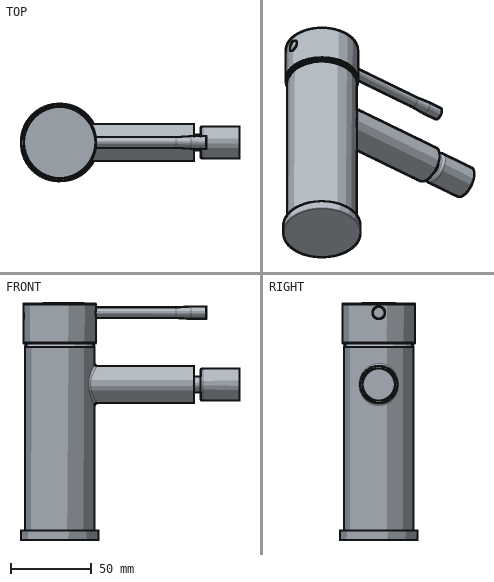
import cadquery as cq
import math


base_diameter = 48.0
base_height = 6.0
base_edge_radius = 0.4

body_diameter = 43.2
body_top = 119.2
neck_top_diameter = 40.8

cap_diameter = 45.0
cap_bottom = 121.5
cap_rim = 146.0
cap_edge_chamfer = 0.45
total_height = 146.57

spout_diameter = 23.0
spout_height = 96.1
spout_end = 83.1
spout_edge_radius = 0.4
spout_root_radius = 1.5

joint_diameter = 10.0
aerator_diameter = 20.0
aerator_start = 87.0
aerator_end = 111.13
aerator_edge_radius = 1.5

lever_height = 140.5
lever_diameter = 6.7
lever_taper_start = 72.0
lever_taper_end = 81.0
lever_tip_diameter = 7.8
lever_end = 90.7
lever_edge_chamfer = 0.2

plug_diameter = 7.0
plug_height = 138.4
plug_recess = 0.1


def x_cylinder(diameter, start, end, height):
    """Cylinder along +X, centred on Y = 0 at the given height."""
    return (
        cq.Workplane("YZ", origin=(start, 0, height))
        .circle(diameter / 2)
        .extrude(end - start)
    )


def z_cylinder(diameter, bottom, top):
    """Cylinder along +Z on the body axis."""
    return cq.Workplane("XY").workplane(offset=bottom).circle(diameter / 2).extrude(top - bottom)


def make_body_with_spout():
    """Body column and spout, blended where they meet."""
    body = z_cylinder(body_diameter, base_height, body_top)
    spout = x_cylinder(spout_diameter, 0, spout_end, spout_height)
    spout = spout.faces(">X").edges().fillet(spout_edge_radius)
    joined = body.union(spout)
    half_spout = spout_diameter / 2
    root_zone = cq.selectors.BoxSelector(
        (0, -half_spout, spout_height - half_spout),
        (body_diameter / 2 + spout_root_radius, half_spout, spout_height + half_spout),
    )
    return joined.edges(root_zone).fillet(spout_root_radius)


def make_base():
    return z_cylinder(base_diameter, 0, base_height).edges().fillet(base_edge_radius)


def make_neck():
    """Cone from the top of the body to the underside of the cap."""
    return (
        cq.Workplane("XZ")
        .moveTo(0, body_top)
        .lineTo(body_diameter / 2, body_top)
        .lineTo(neck_top_diameter / 2, cap_bottom)
        .lineTo(0, cap_bottom)
        .close()
        .revolve(360, (0, 0, 0), (0, 1, 0))
    )


def make_cap():
    """Turned cap with broken edges, a domed top and the recessed plug."""
    radius = cap_diameter / 2
    dome_radius = radius - cap_edge_chamfer
    rise = total_height - cap_rim
    ball_radius = (dome_radius**2 + rise**2) / (2 * rise)
    ball_center = total_height - ball_radius
    mid_radius = dome_radius / 2
    mid_height = ball_center + math.sqrt(ball_radius**2 - mid_radius**2)
    cap = (
        cq.Workplane("XZ")
        .moveTo(0, cap_bottom)
        .lineTo(radius - cap_edge_chamfer, cap_bottom)
        .lineTo(radius, cap_bottom + cap_edge_chamfer)
        .lineTo(radius, cap_rim - cap_edge_chamfer)
        .lineTo(dome_radius, cap_rim)
        .threePointArc((mid_radius, mid_height), (0, total_height))
        .close()
        .revolve(360, (0, 0, 0), (0, 1, 0))
    )
    core = z_cylinder(cap_diameter - 2 * plug_recess, cap_bottom, cap_rim)
    recess = x_cylinder(plug_diameter, -radius, 0, plug_height).cut(core)
    return cap.cut(recess)


def make_aerator():
    joint = x_cylinder(joint_diameter, spout_end, aerator_start, spout_height)
    aerator = x_cylinder(aerator_diameter, aerator_start, aerator_end, spout_height)
    aerator = aerator.faces("<X").edges().fillet(aerator_edge_radius)
    return aerator.union(joint)


def make_lever():
    """Round rod that flares into a thicker tip."""
    rod_radius = lever_diameter / 2
    tip_radius = lever_tip_diameter / 2
    return (
        cq.Workplane("XZ", origin=(0, 0, lever_height))
        .lineTo(0, rod_radius)
        .lineTo(lever_taper_start, rod_radius)
        .lineTo(lever_taper_end, tip_radius)
        .lineTo(lever_end - lever_edge_chamfer, tip_radius)
        .lineTo(lever_end, tip_radius - lever_edge_chamfer)
        .lineTo(lever_end, 0)
        .close()
        .revolve(360, (0, 0, 0), (1, 0, 0))
    )


result = (
    make_body_with_spout()
    .union(make_base())
    .union(make_neck())
    .union(make_cap())
    .union(make_aerator())
    .union(make_lever())
)